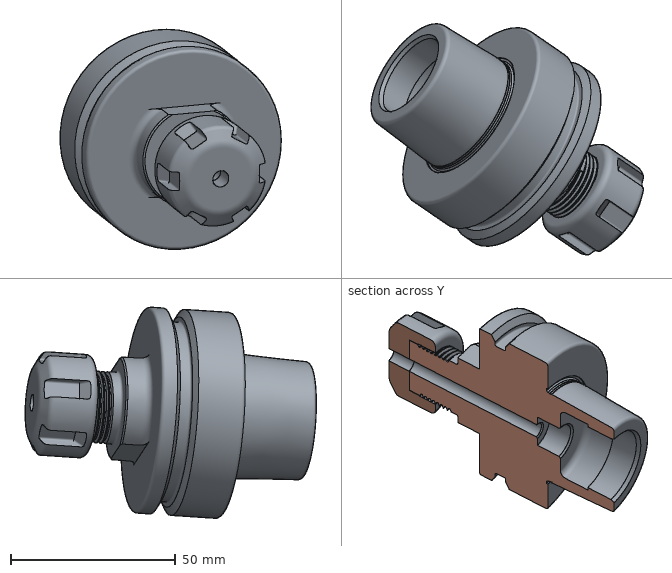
import cadquery as cq
import math


total_length = 85.0
taper_length = 22.8
flange_start = 25.0
flange_end = 51.0
collar_end = 59.0
nut_start = 67.4
shank_end = 77.35

taper_tip_radius = 18.0
taper_base_radius = 19.1
taper_rounding = 1.2
relief_start = 23.6
relief_end = 24.3
relief_depth = 0.2
face_groove_radius = 20.4
face_groove_inner_radius = 19.6
face_groove_depth = 0.5

flange_diameter = 63.0
flange_radius = flange_diameter / 2
flange_rounding = 1.0
grip_start = 41.05
grip_end = 44.9
grip_floor_radius = 27.45
grip_wall_radius = 29.1
grip_floor_rounding = 0.5
grip_flank_angle = 60

collar_radius = 16.0
collar_across_flats = 28.0
collar_root_rounding = 2.0
collar_chamfer = 0.5

shank_radius = 11.0
shank_root_rounding = 0.7
thread_start = 62.0
thread_start_angle = 210
thread_length = 12.0
thread_turns = 8
thread_pitch = thread_length / thread_turns
thread_depth = 0.9
thread_root_width = 0.4
thread_mouth_width = 1.3
thread_overshoot = 0.2

bore_radius = 13.0
bore_chamfer_depth = 0.7
bore_chamfer_length = 1.2
lip_length = 9.95
recess_radius = 14.0
recess_end = 20.2
recess_floor_rounding = 2.0
pocket_radius = 5.95
pocket_chamfer = 0.6
pocket_end = 28.9
channel_radius = 2.55
channel_chamfer = 0.4

nut_radius = 15.8
nut_back_rounding = 2.0
nut_nose_angle = 60
nut_nose_radius = 10.9
nut_shoulder_rounding = 1.7
nut_nose_rounding = 3.8

slot_count = 6
slot_width = 5.9
slot_floor_radius = 12.8
slot_floor_rounding = 0.6
short_slot_start = 71.15
long_slot_start = 69.9

overshoot = 0.85
edge_margin = 0.1

plus_z_angle = 90
minus_z_angle = 270


def revolve(profile):
    """Turn a closed profile of (X, radius) about the X axis."""
    return profile.close().revolve(360, (0, 0, 0), (1, 0, 0))


def cylinder(start, end, radius):
    return cq.Workplane("YZ", origin=(start, 0, 0)).circle(radius).extrude(end - start)


def make_taper():
    profile = (
        cq.Workplane("XZ")
        .lineTo(0, taper_tip_radius)
        .lineTo(taper_length, taper_base_radius)
        .lineTo(relief_start, taper_base_radius)
        .lineTo(relief_start, taper_base_radius - relief_depth)
        .lineTo(relief_end, taper_base_radius - relief_depth)
        .lineTo(relief_end, taper_base_radius)
        .lineTo(flange_start, taper_base_radius)
        .lineTo(flange_start, 0)
    )
    return revolve(profile).faces("<X").edges().fillet(taper_rounding)


def make_face_groove():
    """Ring recessed in the flange face around the neck, with a flared inner side."""
    floor = flange_start + face_groove_depth
    profile = (
        cq.Workplane("XZ")
        .moveTo(flange_start, taper_base_radius)
        .lineTo(flange_start, face_groove_radius)
        .lineTo(floor, face_groove_radius)
        .lineTo(floor, face_groove_inner_radius)
    )
    return revolve(profile)


def make_grip_groove():
    """Groove around the flange: square at the bottom, flaring out above."""
    rim = flange_radius + overshoot
    flare = (rim - grip_wall_radius) / math.tan(math.radians(grip_flank_angle))
    rounding_top = grip_floor_radius + grip_floor_rounding
    profile = (
        cq.Workplane("XZ")
        .moveTo(grip_start - flare, rim)
        .lineTo(grip_start, grip_wall_radius)
        .lineTo(grip_start, rounding_top)
        .radiusArc((grip_start + grip_floor_rounding, grip_floor_radius), -grip_floor_rounding)
        .lineTo(grip_end - grip_floor_rounding, grip_floor_radius)
        .radiusArc((grip_end, rounding_top), -grip_floor_rounding)
        .lineTo(grip_end, grip_wall_radius)
        .lineTo(grip_end + flare, rim)
    )
    return revolve(profile)


def make_flange():
    disc = cylinder(flange_start, flange_end, flange_radius).edges("%CIRCLE").fillet(flange_rounding)
    return disc.cut(make_grip_groove()).cut(make_face_groove())


def make_collar():
    """Collar flared into the flange, with flats on its +Z and -Z sides."""
    root_radius = collar_radius + collar_root_rounding
    profile = (
        cq.Workplane("XZ")
        .moveTo(flange_end, 0)
        .lineTo(flange_end, root_radius)
        .radiusArc((flange_end + collar_root_rounding, collar_radius), -collar_root_rounding)
        .lineTo(collar_end - collar_chamfer, collar_radius)
        .lineTo(collar_end, collar_radius - collar_chamfer)
        .lineTo(collar_end, 0)
    )
    between_flats = cq.Workplane("XY").box(2 * total_length, 2 * root_radius, collar_across_flats)
    return revolve(profile).intersect(between_flats)


def make_thread_groove():
    """Right-handed helical groove that is cut into the shank."""
    mouth = shank_radius + thread_overshoot
    root = shank_radius - thread_depth
    flank = (thread_mouth_width - thread_root_width) / 2 / thread_depth
    half_mouth = thread_mouth_width / 2 + flank * thread_overshoot
    half_root = thread_root_width / 2
    path = cq.Wire.makeHelix(thread_pitch, thread_length, shank_radius)
    section = cq.Workplane("XZ").polyline(
        [(root, -half_root), (mouth, -half_mouth), (mouth, half_mouth), (root, half_root)]
    )
    groove = section.close().sweep(cq.Workplane(path), isFrenet=True)
    groove = groove.rotate((0, 0, 0), (0, 1, 0), 90)
    groove = groove.rotate((0, 0, 0), (1, 0, 0), thread_start_angle - minus_z_angle)
    return groove.translate((thread_start, 0, 0))


def make_shank():
    profile = (
        cq.Workplane("XZ")
        .moveTo(collar_end, 0)
        .lineTo(collar_end, shank_radius + shank_root_rounding)
        .radiusArc((collar_end + shank_root_rounding, shank_radius), -shank_root_rounding)
        .lineTo(shank_end, shank_radius)
        .lineTo(shank_end, 0)
    )
    return revolve(profile).cut(make_thread_groove())


def make_holder_bore():
    """Chamfered bore, undercut recess, pocket and the channel through the holder."""
    profile = (
        cq.Workplane("XZ")
        .lineTo(0, bore_radius + bore_chamfer_depth)
        .lineTo(bore_chamfer_length, bore_radius)
        .lineTo(lip_length, bore_radius)
        .lineTo(lip_length, recess_radius)
        .lineTo(recess_end - recess_floor_rounding, recess_radius)
        .radiusArc((recess_end, recess_radius - recess_floor_rounding), recess_floor_rounding)
        .lineTo(recess_end, pocket_radius + pocket_chamfer)
        .lineTo(recess_end + pocket_chamfer, pocket_radius)
        .lineTo(pocket_end, pocket_radius)
        .lineTo(pocket_end, channel_radius + channel_chamfer)
        .lineTo(pocket_end + channel_chamfer, channel_radius)
        .lineTo(shank_end, channel_radius)
        .lineTo(shank_end, 0)
    )
    return revolve(profile)


def make_holder():
    blank = make_taper().union(make_flange()).union(make_collar()).union(make_shank())
    return blank.cut(make_holder_bore())


def make_slot(start):
    """Wrench slot on the +Z side with a ramp at 45 degrees, open at the front of the nut."""
    depth = nut_radius - slot_floor_radius
    rim = nut_radius + overshoot
    front = total_length + overshoot
    profile = cq.Workplane("XZ").polyline(
        [
            (start + depth, slot_floor_radius),
            (front, slot_floor_radius),
            (front, rim),
            (start - overshoot, rim),
        ]
    )
    slot = profile.close().extrude(slot_width / 2, both=True)
    return slot.faces("<Z or <X").edges("not |Y").fillet(slot_floor_rounding)


def make_nut():
    nose_length = (nut_radius - nut_nose_radius) / math.tan(math.radians(nut_nose_angle))
    shoulder = total_length - nose_length
    profile = (
        cq.Workplane("XZ")
        .moveTo(nut_start, 0)
        .lineTo(nut_start, nut_radius)
        .lineTo(shoulder, nut_radius)
        .lineTo(total_length, nut_nose_radius)
        .lineTo(total_length, 0)
    )
    nut = revolve(profile)
    nut = nut.faces("<X").edges().fillet(nut_back_rounding)
    nut = nut.faces(">X").edges().fillet(nut_nose_rounding)
    shoulder_edge = cq.selectors.BoxSelector(
        (shoulder - edge_margin, -nut_radius, -nut_radius),
        (shoulder + edge_margin, nut_radius, nut_radius),
    )
    nut = nut.edges(shoulder_edge).fillet(nut_shoulder_rounding)
    nut = nut.cut(cylinder(nut_start, shank_end, shank_radius))
    nut = nut.cut(cylinder(shank_end, total_length, channel_radius))
    for index in range(slot_count):
        angle = index * 360 / slot_count
        on_long_side = math.cos(math.radians(angle)) > 0
        start = long_slot_start if on_long_side else short_slot_start
        nut = nut.cut(make_slot(start).rotate((0, 0, 0), (1, 0, 0), angle - plus_z_angle))
    return nut


holder = make_holder()
nut = make_nut()
result = cq.Compound.makeCompound([holder.solids().val(), nut.solids().val()])